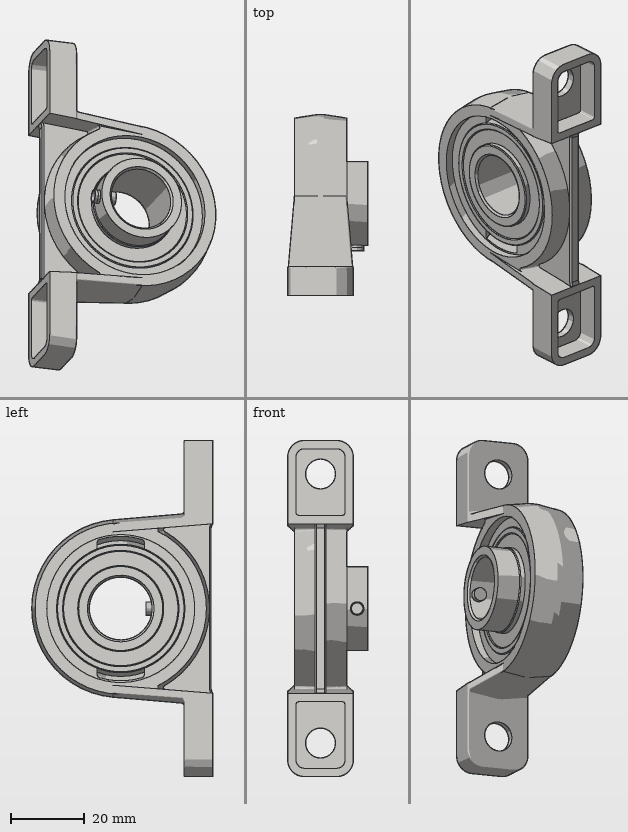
import cadquery as cq
import math


LENGTH = 90.9
BASE_Y = -24.9
CROWN_RADIUS = 24.1
CROWN_LAND = 0.8
CROWN_SLOPE = 0.15
HOUSING_HALF = 7.1

FOOT_HALF = 8.9
FOOT_HEIGHT = 7.8
FOOT_INNER_Z = 22.9
FOOT_CORNER = 4.5
FOOT_EDGE = 0.4
FOOT_TOP_Y = BASE_Y + FOOT_HEIGHT
FOOT_END = LENGTH / 2
BOLT_RADIUS = 4.0
BOLT_Z = 36.4
POCKET_WALL = 2.3
POCKET_DEPTH = 5.6
POCKET_INNER_CORNER = 0.8

ARM_ANGLE = math.radians(4.9)
INNER_SLOPE = math.tan(math.radians(4.6))
ARM_END_HALF = 8.7
ARM_START_Y = CROWN_RADIUS * math.sin(ARM_ANGLE)
ARM_EDGE = 0.4
FOOT_FILLET = 0.8
RING_FILLET = 0.5

WEB_HALF = 1.5
WEB_BASE_Y = BASE_Y + 0.45
WEB_CHAMFER = 0.45
WEB_END_RAMP = 1.1
WEB_END_Y = BASE_Y + 0.1

RECESS_RADIUS = 20.0
RING_FACE_X = 5.2
RING_RADIUS = 17.4
RING_BORE = 15.7
RING_CHAMFER = 0.3
SEAL_FACE_X = RING_FACE_X - 0.3
SEAT_FACE_X = RING_FACE_X - RING_CHAMFER
INNER_RING_RADIUS = 11.6
INNER_RING_FACE_X = 6.45
COLLAR_RADIUS = 11.4
COLLAR_END_X = 12.8
BORE_RADIUS = 8.45
BORE_CHAMFER = 0.5

NOTCH_RADIUS = 19.5
NOTCH_TIP_RADIUS = 18.4
NOTCH_DEPTH = 3.6
NOTCH_WIDTH = 12.7
NOTCH_CORNER = 0.9

SCREW_X = 9.9
SCREW_RADIUS = 1.8
SCREW_INNER_Y = -6.8
SCREW_OUTER_Y = -12.8
SOCKET_RADIUS = 1.5
SOCKET_DEPTH = 0.9

OVERLAP = 0.9
CLEARANCE = 0.1


def inner_z(y):
    """Z of the inner face of the upper foot and arm at height y."""
    return FOOT_INNER_Z - (y - BASE_Y) * INNER_SLOPE


def crown_drop(x):
    return (x - CROWN_LAND) * CROWN_SLOPE


def revolve_about_x(points):
    """Turn an (x, radius) outline about the bearing axis."""
    return cq.Workplane("XY").polyline(points).close().revolve(360, (0, 0, 0), (1, 0, 0))


def on_x_axis(radius, x_from, x_to):
    return cq.Workplane("YZ", origin=(x_from, 0, 0)).circle(radius).extrude(x_to - x_from)


def housing_ring():
    edge_radius = CROWN_RADIUS - crown_drop(HOUSING_HALF)
    return revolve_about_x([
        (-HOUSING_HALF, 0),
        (-HOUSING_HALF, edge_radius),
        (-CROWN_LAND, CROWN_RADIUS),
        (CROWN_LAND, CROWN_RADIUS),
        (HOUSING_HALF, edge_radius),
        (HOUSING_HALF, 0),
    ])


def upper_arm():
    """Arm running tangentially from the crown down to the upper foot."""
    tangent_dir = cq.Vector(0, -math.cos(ARM_ANGLE), math.sin(ARM_ANGLE))
    plane = cq.Plane(
        origin=(0, ARM_START_Y, CROWN_RADIUS * math.cos(ARM_ANGLE)),
        xDir=(1, 0, 0),
        normal=tangent_dir,
    )
    depth = CROWN_RADIUS / 2
    run = (ARM_START_Y - FOOT_TOP_Y + OVERLAP) / math.cos(ARM_ANGLE)
    bar = (
        cq.Workplane(plane)
        .polyline([
            (-FOOT_HALF, -depth),
            (-FOOT_HALF, -crown_drop(FOOT_HALF)),
            (-CROWN_LAND, 0),
            (CROWN_LAND, 0),
            (FOOT_HALF, -crown_drop(FOOT_HALF)),
            (FOOT_HALF, -depth),
        ])
        .close()
        .extrude(run, both=True)
    )
    widening = (ARM_END_HALF - HOUSING_HALF) / (ARM_START_Y - FOOT_TOP_Y)
    end_y = FOOT_TOP_Y - OVERLAP / 2
    end_half = ARM_END_HALF + widening * OVERLAP / 2
    taper = (
        cq.Workplane("XY")
        .polyline([
            (-HOUSING_HALF, ARM_START_Y),
            (HOUSING_HALF, ARM_START_Y),
            (end_half, end_y),
            (-end_half, end_y),
        ])
        .close()
        .extrude(FOOT_END)
    )
    outside = (
        cq.Workplane("YZ")
        .polyline([
            (ARM_START_Y, inner_z(ARM_START_Y)),
            (ARM_START_Y, FOOT_END),
            (end_y, FOOT_END),
            (end_y, inner_z(end_y)),
        ])
        .close()
        .extrude(FOOT_HALF, both=True)
    )
    arm = bar.intersect(taper).intersect(outside)
    return arm.faces("<X or >X").edges(">Z").fillet(ARM_EDGE)


def upper_foot():
    foot = (
        cq.Workplane("YZ")
        .polyline([
            (BASE_Y, inner_z(BASE_Y)),
            (BASE_Y, FOOT_END),
            (FOOT_TOP_Y, FOOT_END),
            (FOOT_TOP_Y, inner_z(FOOT_TOP_Y)),
        ])
        .close()
        .extrude(FOOT_HALF, both=True)
    )
    foot = foot.faces(">Z").edges("|Y").fillet(FOOT_CORNER)
    return foot.faces(">Y").edges("not <Z").fillet(FOOT_EDGE)


def upper_foot_cuts():
    """Bolt hole and the pocket under the foot."""
    pocket_half = FOOT_HALF - POCKET_WALL
    pocket_from = FOOT_INNER_Z + POCKET_WALL
    pocket_to = FOOT_END - POCKET_WALL
    pocket = cq.Workplane("XY").box(
        2 * pocket_half, POCKET_DEPTH, pocket_to - pocket_from, centered=(True, False, False)
    )
    pocket = pocket.translate((0, BASE_Y, pocket_from))
    pocket = pocket.edges("|Y and >Z").fillet(FOOT_CORNER - POCKET_WALL)
    pocket = pocket.edges("|Y and <Z").fillet(POCKET_INNER_CORNER)
    bolt = (
        cq.Workplane("XZ", origin=(0, FOOT_TOP_Y, BOLT_Z))
        .circle(BOLT_RADIUS)
        .extrude(FOOT_HEIGHT)
    )
    return pocket.union(bolt)


def both_ends(upper):
    return upper.union(upper.mirror("XY"))


def web():
    """Plate between the arms, with a chamfered base whose ends slope down to the feet."""
    end_z = inner_z(WEB_END_Y)
    ramp_z = end_z - WEB_END_RAMP
    top_z = inner_z(0) + OVERLAP
    plate = (
        cq.Workplane("YZ")
        .polyline([
            (WEB_BASE_Y, -ramp_z),
            (WEB_BASE_Y, ramp_z),
            (WEB_END_Y, end_z),
            (WEB_BASE_Y, end_z + OVERLAP),
            (0, top_z),
            (0, -top_z),
            (WEB_BASE_Y, -end_z - OVERLAP),
            (WEB_END_Y, -end_z),
        ])
        .close()
        .extrude(WEB_HALF, both=True)
    )
    base = cq.selectors.BoxSelector((-FOOT_HALF, BASE_Y, -end_z), (FOOT_HALF, WEB_BASE_Y + CLEARANCE, end_z))
    return plate.edges("not |X").edges(base).chamfer(WEB_CHAMFER)


def ring_recess():
    """Space over the bearing on the -X side, bounded by the faces of its rings and its seal."""
    return revolve_about_x([
        (-HOUSING_HALF, 0),
        (-INNER_RING_FACE_X, 0),
        (-INNER_RING_FACE_X, INNER_RING_RADIUS - RING_CHAMFER),
        (-INNER_RING_FACE_X + RING_CHAMFER, INNER_RING_RADIUS),
        (-SEAL_FACE_X, INNER_RING_RADIUS),
        (-SEAL_FACE_X, RING_BORE - RING_CHAMFER),
        (-RING_FACE_X, RING_BORE),
        (-RING_FACE_X, RING_RADIUS - RING_CHAMFER),
        (-SEAT_FACE_X, RING_RADIUS),
        (-SEAT_FACE_X, RECESS_RADIUS),
        (-HOUSING_HALF, RECESS_RADIUS),
    ])


def notches():
    """Wedge-shaped grooves in the seat, kept to a short width at each end of the Z diameter."""
    groove = revolve_about_x([
        (-SEAT_FACE_X, RING_RADIUS),
        (-SEAT_FACE_X, NOTCH_RADIUS),
        (-SEAT_FACE_X + NOTCH_DEPTH, NOTCH_TIP_RADIUS),
    ])
    slab = cq.Workplane("XY").box(2 * HOUSING_HALF, NOTCH_WIDTH, 2 * CROWN_RADIUS)
    window = on_x_axis(NOTCH_RADIUS, -HOUSING_HALF, 0).intersect(slab).edges("|X").fillet(NOTCH_CORNER)
    return groove.intersect(window)


def set_screw():
    shank = (
        cq.Workplane("XZ", origin=(SCREW_X, SCREW_INNER_Y, 0))
        .circle(SCREW_RADIUS)
        .extrude(SCREW_INNER_Y - SCREW_OUTER_Y)
    )
    return shank.faces("<Y").workplane().circle(SOCKET_RADIUS).cutBlind(-SOCKET_DEPTH)


def bore():
    wide = BORE_RADIUS + BORE_CHAMFER
    return revolve_about_x([
        (-HOUSING_HALF, 0),
        (-HOUSING_HALF, wide),
        (-INNER_RING_FACE_X, wide),
        (-INNER_RING_FACE_X + BORE_CHAMFER, BORE_RADIUS),
        (COLLAR_END_X - BORE_CHAMFER, BORE_RADIUS),
        (COLLAR_END_X, wide),
        (COLLAR_END_X, 0),
    ])


def both_sides(left):
    return left.union(left.mirror("YZ"))


def round_arm_roots(frame):
    """Round the corners between the arms and the ring, then those between the arms and the feet."""
    ring_corner = cq.selectors.BoxSelector(
        (-HOUSING_HALF + CLEARANCE, FOOT_TOP_Y + OVERLAP, -FOOT_INNER_Z),
        (HOUSING_HALF - CLEARANCE, -OVERLAP, FOOT_INNER_Z),
    )
    foot_corner = cq.selectors.BoxSelector(
        (-ARM_END_HALF + ARM_EDGE, FOOT_TOP_Y - CLEARANCE, -BOLT_Z),
        (ARM_END_HALF - ARM_EDGE, FOOT_TOP_Y + CLEARANCE, BOLT_Z),
    )
    frame = frame.edges(ring_corner).fillet(RING_FILLET)
    return frame.edges(foot_corner).fillet(FOOT_FILLET)


frame = both_ends(upper_foot().union(upper_arm())).union(housing_ring())
frame = round_arm_roots(frame).union(web()).cut(both_ends(upper_foot_cuts()))

block = frame.cut(both_sides(ring_recess())).cut(notches())
collar = on_x_axis(COLLAR_RADIUS, 0, COLLAR_END_X)
result = block.union(collar).cut(bore()).union(set_screw())